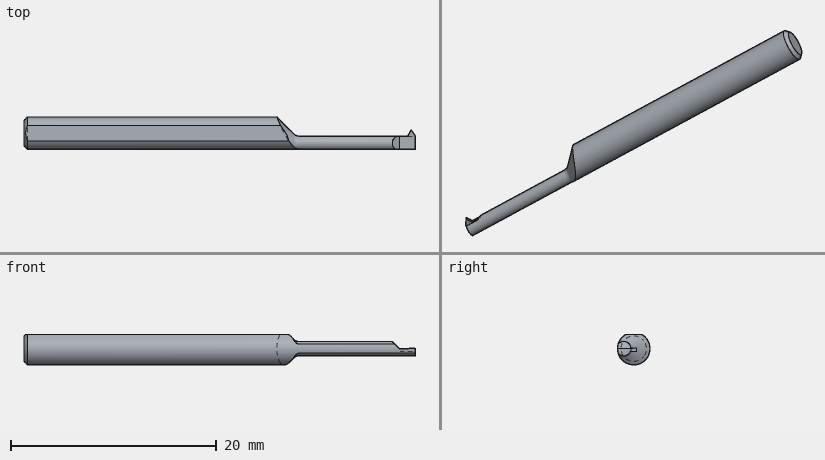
import cadquery as cq
import math


total_length = 38.1
shank_radius = 3.175 / 2
rear_chamfer = 0.35
flat_height = 1.4

neck_axis_y = -0.98
neck_radius = 0.70
neck_start_x = 26.48
shoulder_angle = 45.0
shoulder_fillet = 0.65

tip_floor_x = 36.54
runout_angle = 45.0

tooth_tip_y = 0.29
tooth_tip_rear_x = 37.65
tooth_tip_front_x = 37.70
tooth_rear_flank_angle = 28.0
tooth_front_flank_angle = 36.0
tooth_depth = 0.30

neck_edge_y = neck_axis_y + neck_radius
rake_line_start_x = 36.63
rake_line_angle = -17.5
rake_angle = 4.5


def make_shank():
    """Full-length round bar with a chamfered rear end."""
    bar = cq.Workplane("YZ").circle(shank_radius).extrude(total_length)
    return bar.faces("<X").chamfer(rear_chamfer)


def make_turning_envelope():
    """Solid of revolution about the neck axis that leaves the shank, shoulder and neck."""
    outer_radius = shank_radius - neck_axis_y + neck_radius
    slope = math.radians(shoulder_angle)
    shoulder_start_x = neck_start_x - (outer_radius - neck_radius) / math.tan(slope)

    tangent_length = shoulder_fillet * math.tan(slope / 2)
    cone_tangent_x = neck_start_x - tangent_length * math.cos(slope)
    cone_tangent_r = neck_radius + tangent_length * math.sin(slope)
    neck_tangent_x = neck_start_x + tangent_length
    arc_middle_x = neck_tangent_x - shoulder_fillet * math.sin(slope / 2)
    arc_middle_r = neck_radius + shoulder_fillet * (1 - math.cos(slope / 2))

    profile = (
        cq.Workplane("XY", origin=(0, neck_axis_y, 0))
        .moveTo(0, 0)
        .lineTo(0, outer_radius)
        .lineTo(shoulder_start_x, outer_radius)
        .lineTo(cone_tangent_x, cone_tangent_r)
        .threePointArc((arc_middle_x, arc_middle_r), (neck_tangent_x, neck_radius))
        .lineTo(total_length, neck_radius)
        .lineTo(total_length, 0)
        .close()
    )
    return profile.revolve(360, (0, 0, 0), (1, 0, 0))


def make_flat_cutter():
    """Block above the clamping flat."""
    return cq.Workplane("XY", origin=(0, 0, flat_height)).rect(
        2 * total_length, 2 * shank_radius
    ).extrude(shank_radius)


def make_tip_cutter():
    """Wedge-ended block that halves the neck at the tip, down to the cutting plane."""
    height = 2 * shank_radius
    runout_length = height / math.tan(math.radians(runout_angle))
    return (
        cq.Workplane("XZ")
        .moveTo(tip_floor_x, 0)
        .lineTo(total_length, 0)
        .lineTo(total_length, height)
        .lineTo(tip_floor_x - runout_length, height)
        .close()
        .extrude(2 * shank_radius, both=True)
    )


def make_tooth():
    """Pointed tooth beside the neck, topped by the rising rake face."""
    rear_flank_slope = math.tan(math.radians(tooth_rear_flank_angle))
    front_flank_slope = math.tan(math.radians(tooth_front_flank_angle))
    rake_line_slope = math.tan(math.radians(rake_line_angle))
    rear_flank_foot_x = tooth_tip_rear_x - (tooth_tip_y - neck_edge_y) * rear_flank_slope
    front_flank_end_y = tooth_tip_y - (total_length - tooth_tip_front_x) / front_flank_slope
    rake_line_end_y = neck_edge_y + (total_length - rake_line_start_x) * rake_line_slope

    outline = [
        (rake_line_start_x, neck_edge_y),
        (total_length, rake_line_end_y),
        (total_length, front_flank_end_y),
        (tooth_tip_front_x, tooth_tip_y),
        (tooth_tip_rear_x, tooth_tip_y),
        (rear_flank_foot_x, neck_edge_y),
    ]
    blank = (
        cq.Workplane("XY", origin=(0, 0, -tooth_depth))
        .polyline(outline)
        .close()
        .extrude(tooth_depth + neck_radius)
    )
    return blank.cut(make_rake_cutter())


def make_rake_cutter():
    """Block resting on the rake face, large enough to clear the whole tooth."""
    rake_plane = (
        cq.Workplane("XY", origin=(rake_line_start_x, neck_edge_y, 0))
        .transformed(rotate=(0, 0, rake_line_angle))
        .transformed(rotate=(rake_angle, 0, 0))
    )
    return rake_plane.rect(2 * shank_radius, 2 * shank_radius).extrude(2 * neck_radius)


result = (
    make_shank()
    .intersect(make_turning_envelope())
    .cut(make_flat_cutter())
    .cut(make_tip_cutter())
    .union(make_tooth())
)